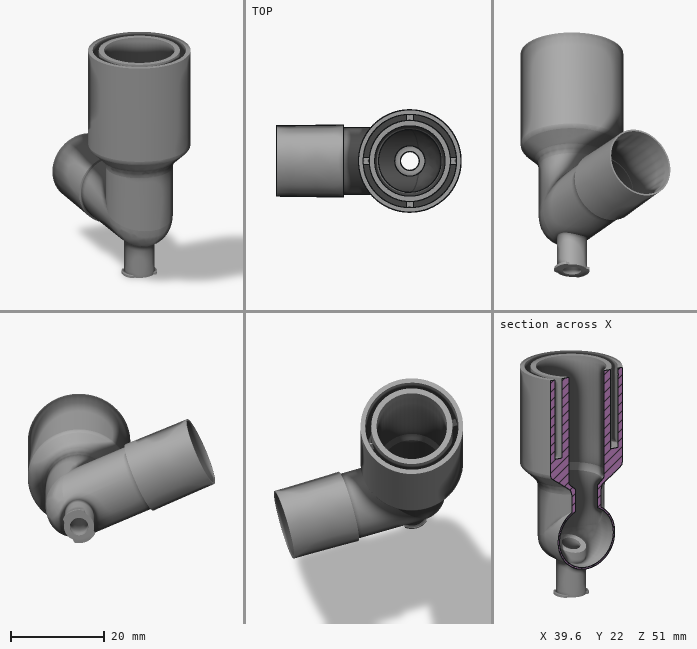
import cadquery as cq
import math


overall_length = 39.6
cup_diameter = 22.0

pipe_diameter = 14.4
pipe_bore = 13.4
corner_slope = 0.3

inlet_length = overall_length - cup_diameter / 2
inlet_end_diameter = 15.1
inlet_step_diameter = 15.45
inlet_step_distance = 14.2
inlet_end_bore = 14.4
inlet_inner_bore = 13.8

cup_top = 36.7
cup_shoulder = 14.8
neck_height = 11.2
cup_bore = 15.1
bore_cone_height = 1.55
shoulder_round = 1.3
neck_round = 2.55

groove_outer_diameter = 20.0
groove_inner_diameter = 17.4
groove_depth = 17.85
rib_width = 1.55
rib_recess = 5.1
rib_count = 4

tube_diameter = 6.5
tube_bore = 4.0
tube_bottom = -14.3
tube_tip_height = -3.15
tube_tip_angle = 19.5
lip_diameter = 7.6
lip_height = 0.5
lip_width = 4.9


def upright(diameter, bottom, top):
    """Vertical cylinder on the cup axis."""
    return cq.Workplane("XY").workplane(offset=bottom).circle(diameter / 2).extrude(top - bottom)


def revolve_about_z(profile):
    return profile.close().revolve(360, (0, 0, 0), (0, 1, 0))


def prism(points):
    """Wide slab along Y over an outline of (x, z) points."""
    return cq.Workplane("XZ").polyline(points).close().extrude(cup_diameter, both=True)


def corner_ellipsoid(radius):
    """Ellipsoid, long toward +X -Z, that blends tangent into both pipes of the elbow.

    It touches the two pipe cylinders along planes tilted by corner_slope from their cross sections.
    """
    long_scale = math.sqrt(1 + corner_slope)
    short_scale = math.sqrt(1 - corner_slope)
    scaling = cq.Matrix([[long_scale, 0, 0, 0], [0, 1, 0, 0], [0, 0, short_scale, 0]])
    ball = cq.Workplane("XY").sphere(radius).val().transformGeometry(scaling)
    return cq.Workplane("XY").newObject([ball]).rotate((0, 0, 0), (0, 1, 0), 45)


def elbow(diameter):
    """Mitred right-angle bend with an ellipsoidal outer corner."""
    radius = diameter / 2
    reach = inlet_length
    drop = corner_slope * reach
    riser_zone = prism([(0, 0), (reach, -drop), (reach, reach), (-reach, reach)])
    run_zone = prism([(0, 0), (-reach, reach), (-reach, -reach), (drop, -reach)])
    corner_zone = prism([(0, 0), (drop, -reach), (reach, -reach), (reach, -drop)])

    riser = upright(diameter, -diameter, neck_height).intersect(riser_zone)
    run = (
        cq.Workplane("YZ")
        .workplane(offset=-inlet_length)
        .circle(radius)
        .extrude(inlet_length + diameter)
        .intersect(run_zone)
    )
    corner = corner_ellipsoid(radius).intersect(corner_zone)
    return riser.union(run).union(corner)


def inlet_cone(end_diameter, inner_diameter):
    """Taper from the open inlet end to the sleeve step."""
    return (
        cq.Workplane("YZ")
        .workplane(offset=-inlet_length)
        .circle(end_diameter / 2)
        .workplane(offset=inlet_length - inlet_step_distance)
        .circle(inner_diameter / 2)
        .loft(ruled=True)
    )


def cup_body():
    cup_radius = cup_diameter / 2
    pipe_radius = pipe_diameter / 2
    profile = cq.Workplane("XZ").polyline(
        [
            (0, pipe_radius),
            (pipe_radius, pipe_radius),
            (pipe_radius, neck_height),
            (cup_radius, cup_shoulder),
            (cup_radius, cup_top),
            (0, cup_top),
        ]
    )
    body = revolve_about_z(profile)

    def ring_at(radius, height):
        margin = 0.05
        return cq.selectors.BoxSelector(
            (-radius - margin, -radius - margin, height - margin),
            (radius + margin, radius + margin, height + margin),
            boundingbox=True,
        )

    body = body.edges(ring_at(cup_radius, cup_shoulder)).fillet(shoulder_round)
    return body.edges(ring_at(pipe_radius, neck_height)).fillet(neck_round)


def cup_cavity():
    """Cup bore narrowing through a short cone to the pipe bore."""
    profile = cq.Workplane("XZ").polyline(
        [
            (0, neck_height),
            (pipe_bore / 2, neck_height),
            (cup_bore / 2, neck_height + bore_cone_height),
            (cup_bore / 2, cup_top),
            (0, cup_top),
        ]
    )
    return revolve_about_z(profile)


def rim_groove():
    groove_floor = cup_top - groove_depth
    groove = upright(groove_outer_diameter, groove_floor, cup_top).cut(
        upright(groove_inner_diameter, groove_floor, cup_top)
    )
    rib_height = groove_depth - rib_recess
    for index in range(rib_count):
        rib = (
            cq.Workplane("XY")
            .workplane(offset=groove_floor)
            .rect(cup_diameter / 2, rib_width)
            .extrude(rib_height)
            .translate((cup_diameter / 4, 0, 0))
            .rotate((0, 0, 0), (0, 0, 1), index * 360 / rib_count)
        )
        groove = groove.cut(rib)
    return groove


def drain_tube():
    """Tube with its inner tip cut at a slant, low on the inlet side, and two lips at its foot."""
    half = tube_diameter / 2
    rise = half * math.tan(math.radians(tube_tip_angle))
    slanted = prism(
        [
            (-half, tube_bottom),
            (half, tube_bottom),
            (half, tube_tip_height + rise),
            (-half, tube_tip_height - rise),
        ]
    )
    tube = upright(tube_diameter, tube_bottom, 0).intersect(slanted)
    lip_band = (
        cq.Workplane("XY")
        .workplane(offset=tube_bottom)
        .rect(lip_width, lip_diameter)
        .extrude(lip_height)
    )
    lips = upright(lip_diameter, tube_bottom, tube_bottom + lip_height).intersect(lip_band)
    return tube.union(lips)


outside = (
    elbow(pipe_diameter)
    .union(inlet_cone(inlet_end_diameter, inlet_step_diameter))
    .union(cup_body())
)
hollow = (
    elbow(pipe_bore)
    .union(inlet_cone(inlet_end_bore, inlet_inner_bore))
    .union(cup_cavity())
)
result = (
    outside.cut(hollow)
    .cut(rim_groove())
    .union(drain_tube())
    .cut(upright(tube_bore, tube_bottom, 0))
)